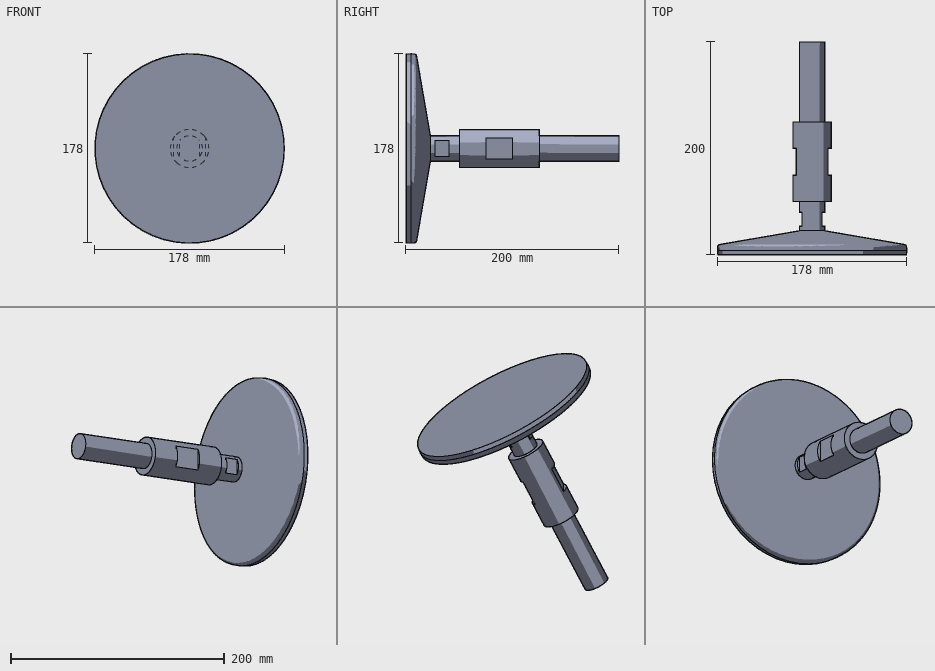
import cadquery as cq

total_length = 200.0

base_diameter = 178.0
pad_thickness = 4.5
rim_height = 9.5
rim_draft = 0.3
rim_fillet = 2.8
cone_top = 22.8

spindle_diameter = 24.0
collar_diameter = 36.0
collar_start = 50.0
collar_length = 75.0

spindle_flat_start = 27.0
spindle_flat_length = 13.0
spindle_flat_width = 19.0
collar_flat_length = 25.0
collar_flat_width = 30.0
collar_flat_start = collar_start + (collar_length - collar_flat_length) / 2


def cylinder(diameter, start, length):
    """Solid cylinder along +Y, beginning at the given distance from the floor."""
    base = cq.Workplane(cq.Plane((0, start, 0), xDir=(1, 0, 0), normal=(0, 1, 0)))
    return base.circle(diameter / 2).extrude(length)


def flat_cutters(diameter, across_flats, start, length):
    """Two blocks that leave a pair of parallel flats on a round shaft."""
    depth = (diameter - across_flats) / 2
    offset = (diameter + across_flats) / 4
    return (
        cq.Workplane("XY")
        .pushPoints([(-offset, start + length / 2), (offset, start + length / 2)])
        .box(depth, length, diameter)
    )


def revolve_about_axis(profile):
    """Turn a half profile a full revolution about the Y axis."""
    return profile.close().revolve(360, (0, 0, 0), (0, 1, 0))


def make_pad():
    """Disc under the foot, slightly wider at its top than at the floor."""
    return revolve_about_axis(
        cq.Workplane("XY")
        .lineTo(base_diameter / 2 - rim_draft, 0)
        .lineTo(base_diameter / 2, pad_thickness)
        .lineTo(0, pad_thickness)
    )


def make_foot():
    """Conical plate with a rounded rim, carrying the spindle and collar."""
    rim_radius = base_diameter / 2 - rim_draft
    plate = revolve_about_axis(
        cq.Workplane("XY")
        .moveTo(0, pad_thickness)
        .lineTo(base_diameter / 2, pad_thickness)
        .lineTo(rim_radius, rim_height)
        .lineTo(spindle_diameter / 2, cone_top)
        .lineTo(0, cone_top)
    )
    rim_corner = cq.selectors.BoxSelector(
        (-base_diameter, rim_height - rim_draft, -base_diameter),
        (base_diameter, rim_height + rim_draft, base_diameter),
        boundingbox=True,
    )
    plate = plate.edges(rim_corner).fillet(rim_fillet)
    spindle = cylinder(spindle_diameter, cone_top, total_length - cone_top)
    collar = cylinder(collar_diameter, collar_start, collar_length)
    spindle_flats = flat_cutters(
        spindle_diameter, spindle_flat_width, spindle_flat_start, spindle_flat_length
    )
    collar_flats = flat_cutters(
        collar_diameter, collar_flat_width, collar_flat_start, collar_flat_length
    )
    return plate.union(spindle).union(collar).cut(spindle_flats).cut(collar_flats)


pad = make_pad()
foot = make_foot()

result = cq.Compound.makeCompound([pad.val(), foot.val()])